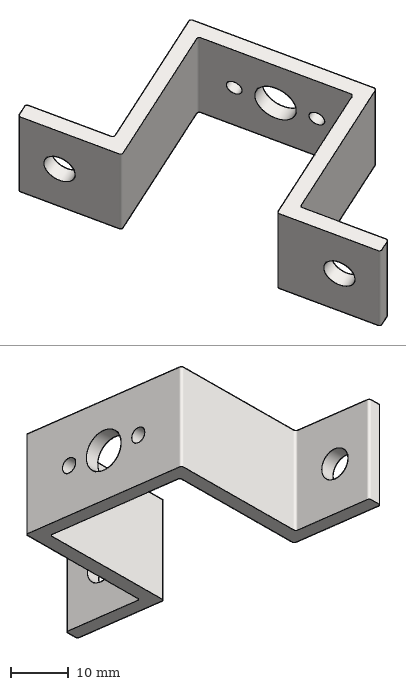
import cadquery as cq

length = 70.0
depth = 33.0
height = 20.0

thickness = 3.0
channel_width = 36.0
edge_radius = 0.5

mount_hole_diameter = 6.0
mount_hole_offset = 27.0
centre_hole_diameter = 8.0
small_hole_diameter = 3.0
small_hole_offset = 8.0

half_length = length / 2
half_outer = channel_width / 2
half_inner = half_outer - thickness


def hat_body():
    """Hat-shaped strip: two flanges at Y = 0 and a channel rising toward +Y."""
    right_half = [
        (half_inner, depth - thickness),
        (half_inner, 0),
        (half_length, 0),
        (half_length, thickness),
        (half_outer, thickness),
        (half_outer, depth),
    ]
    left_half = [(-x, y) for x, y in reversed(right_half)]
    body = cq.Workplane("XY").polyline(right_half + left_half).close().extrude(height)
    return body.edges("|Z").fillet(edge_radius)


def drill(body, x, diameter, y_start):
    """Cut a hole along Y through the sheet whose front face is at y_start."""
    hole = (
        cq.Workplane("XZ", origin=(x, y_start, height / 2))
        .circle(diameter / 2)
        .extrude(-thickness)
    )
    return body.cut(hole)


result = hat_body()
web_front = depth - thickness
result = drill(result, 0, centre_hole_diameter, web_front)
for side in (-1, 1):
    result = drill(result, side * mount_hole_offset, mount_hole_diameter, 0)
    result = drill(result, side * small_hole_offset, small_hole_diameter, web_front)